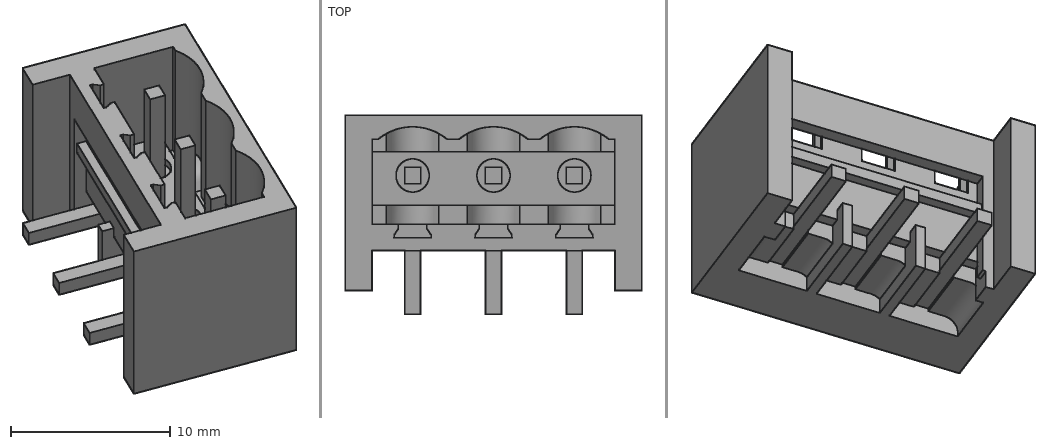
import cadquery as cq
import math


pole_count = 3
pitch = 5.08
pole_xs = [(i - (pole_count - 1) / 2) * pitch for i in range(pole_count)]
divider_xs = [(left + right) / 2 for left, right in zip(pole_xs, pole_xs[1:])]
row_width = pole_count * pitch

housing_width = 18.64
housing_height = 12.0
side_depth = 11.02
front_depth = 8.5

cavity_back = 1.51
cavity_front = 6.86
floor_top = 3.3
scallop_back = 0.73
scallop_half_width = 2.16

keyway_bottom = 7.88
keyway_neck_half = 0.9
keyway_wide_half = 1.15
keyway_neck_end = 7.12
keyway_flare_end = 7.51

bar_back = 2.3
bar_front = 5.67
bar_top = 4.66
well_diameter = 2.09
well_depth = 0.5
mound_half_width = 1.64
mound_crest_half = 1.29
mound_slope = math.radians(54)

window_half_width = 6.88
window_top = 8.85
recess_depth = 7.7
rail_front = 8.31
rail_bottom = 5.96
rail_top = 6.75

ceiling = 1.32
floor_front = 7.0
ceiling_radius = 0.93
channel_right_end = 7.08
divider_width = 0.67
divider_top = 3.3

pin_size = 1.0
pin_depth = 3.78
pin_top = 11.03
leg_bottom = 1.53
leg_end = 12.5
leg_top = leg_bottom + pin_size
pin_back = pin_depth - pin_size / 2
pin_front = pin_depth + pin_size / 2

apron_bottom = leg_top

channel_back = pin_back


def block(x_range, depth_range, z_range):
    """Box between two X positions, two depths and two heights."""
    width = x_range[1] - x_range[0]
    length = depth_range[1] - depth_range[0]
    height = z_range[1] - z_range[0]
    corner = (x_range[0], -depth_range[1], z_range[0])
    return cq.Workplane("XY").box(width, length, height, centered=False).translate(corner)


def centred(x, width):
    """X range of the given width about x."""
    return (x - width / 2, x + width / 2)


def shell():
    """Solid block with the space between the projecting side walls removed."""
    body = block(centred(0, housing_width), (0, side_depth), (0, housing_height))
    return body.cut(block(centred(0, row_width), (front_depth, side_depth), (0, housing_height)))


def cavity_box():
    """Rectangular part of the mating cavity."""
    return block(centred(0, row_width), (cavity_back, cavity_front), (floor_top, housing_height))


def scallop(x):
    """Shallow arched bay in the back wall of the cavity."""
    return (
        cq.Workplane("XY", origin=(x, 0, floor_top))
        .moveTo(-scallop_half_width, -cavity_back)
        .threePointArc((0, -scallop_back), (scallop_half_width, -cavity_back))
        .close()
        .extrude(housing_height - floor_top)
    )


def keyway(x):
    """Dovetail keyway, open to the cavity and to the window recess."""
    return (
        cq.Workplane("XY", origin=(x, 0, keyway_bottom))
        .polyline([
            (-keyway_neck_half, -cavity_front),
            (-keyway_neck_half, -keyway_neck_end),
            (-keyway_wide_half, -keyway_flare_end),
            (-keyway_wide_half, -recess_depth),
            (keyway_wide_half, -recess_depth),
            (keyway_wide_half, -keyway_flare_end),
            (keyway_neck_half, -keyway_neck_end),
            (keyway_neck_half, -cavity_front),
        ])
        .close()
        .extrude(housing_height - keyway_bottom)
    )


def mound(x):
    """Ridge on the cavity floor: sloping flanks tangent to a rounded crest."""
    flank_rise = (mound_half_width - mound_crest_half) * math.tan(mound_slope)
    crest_rise = mound_crest_half * math.tan(mound_slope / 2)
    shoulder = floor_top + flank_rise
    ridge = (
        cq.Workplane("XZ", origin=(x, 0, 0))
        .moveTo(-mound_half_width, floor_top)
        .lineTo(-mound_crest_half, shoulder)
        .threePointArc((0, shoulder + crest_rise), (mound_crest_half, shoulder))
        .lineTo(mound_half_width, floor_top)
        .close()
        .extrude(cavity_front)
    )
    return ridge.intersect(scallop(x).union(cavity_box()))


def channel(x):
    """Open channel under one pole, with rounded upper corners."""
    return (
        block(centred(x, pitch), (channel_back, front_depth), (0, ceiling))
        .edges("|Y and >Z")
        .fillet(ceiling_radius)
    )


def add_cavity(body):
    """Scalloped mating cavity with its keyways, pin bar and floor mounds."""
    body = body.cut(cavity_box())
    for x in pole_xs:
        body = body.cut(scallop(x)).cut(keyway(x))
    body = body.union(block(centred(0, row_width), (bar_back, bar_front), (floor_top, bar_top)))
    for x in pole_xs:
        body = body.union(mound(x))
    return body


def add_window(body):
    """Window recess in the front wall, with a rail across it."""
    window = centred(0, 2 * window_half_width)
    body = body.cut(block(window, (recess_depth, front_depth), (0, window_top)))
    return body.union(block(window, (recess_depth, rail_front), (rail_bottom, rail_top)))


def add_channels(body):
    """Space under the apron, channels below the floor, and the dividers between poles."""
    opening = (-window_half_width, channel_right_end)
    body = body.cut(block(opening, (floor_front, recess_depth), (0, apron_bottom)))

    outlet = block(opening, (floor_front, front_depth), (0, ceiling))
    under_floor = block(centred(0, row_width), (channel_back, floor_front), (0, ceiling))
    channel_space = outlet.union(under_floor)
    for x in pole_xs:
        body = body.cut(channel(x).intersect(channel_space))

    for x in divider_xs:
        divider = centred(x, divider_width)
        body = body.union(block(divider, (channel_back, recess_depth), (0, apron_bottom)))
        body = body.union(block(divider, (recess_depth, front_depth), (0, divider_top)))
    return body


def add_pin_seats(body):
    """Square passage for each upright with a round well at its top, and a slot for each leg."""
    for x in pole_xs:
        seat = centred(x, pin_size)
        well = cq.Workplane("XY", origin=(x, -pin_depth, bar_top)).circle(well_diameter / 2)
        body = body.cut(well.extrude(-well_depth))
        body = body.cut(block(seat, (pin_back, pin_front), (0, bar_top)))
        body = body.cut(block(seat, (pin_back, floor_front), (0, leg_top)))
    return body


def make_housing():
    """Complete housing."""
    body = add_cavity(shell())
    body = add_window(body)
    body = add_channels(body)
    return add_pin_seats(body)


def make_pin(x):
    """Upright contact with a leg bent forward at its foot."""
    seat = centred(x, pin_size)
    upright = block(seat, (pin_back, pin_front), (leg_bottom, pin_top))
    leg = block(seat, (pin_back, leg_end), (leg_bottom, leg_top))
    return upright.union(leg)


housing = make_housing()
pins = [make_pin(x) for x in pole_xs]

result = cq.Compound.makeCompound([housing.val(), *[pin.val() for pin in pins]])